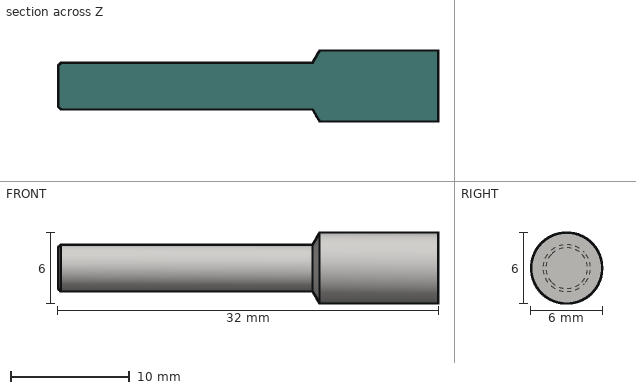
import cadquery as cq
import math

total_length = 32.0
head_length = 10.0
head_radius = 6.0 / 2
shank_radius = 3.97 / 2
tip_chamfer = 0.25
shoulder_angle = 30.0

shoulder_end = total_length - head_length
shoulder_length = (head_radius - shank_radius) * math.tan(math.radians(shoulder_angle))
shoulder_start = shoulder_end - shoulder_length


def pin_profile():
    """Half section of the pin, from the axis outwards."""
    return (
        cq.Workplane("XY")
        .moveTo(0, 0)
        .lineTo(0, shank_radius - tip_chamfer)
        .lineTo(tip_chamfer, shank_radius)
        .lineTo(shoulder_start, shank_radius)
        .lineTo(shoulder_end, head_radius)
        .lineTo(total_length, head_radius)
        .lineTo(total_length, 0)
        .close()
    )


result = pin_profile().revolve(360, (0, 0, 0), (1, 0, 0))